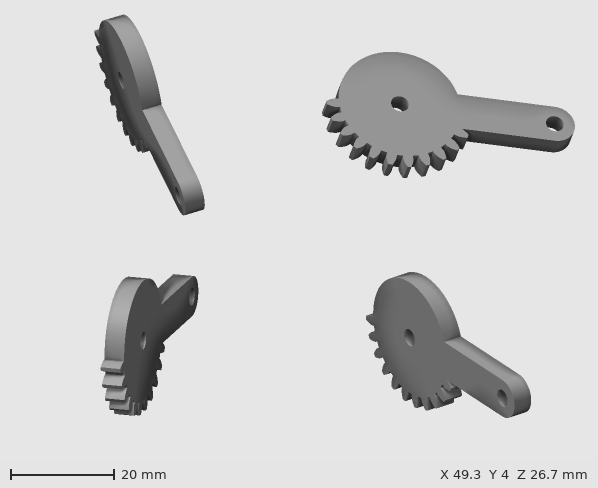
import cadquery as cq
import math

overall_length = 49.3
thickness = 4.0
arm_radius = 4.0
hole_diameter = 3.5

full_tooth_count = 24
tip_radius = 14.65
pressure_angle = math.radians(20)
dedendum_factor = 1.25
module = 2 * tip_radius / (full_tooth_count + 2)
pitch_radius = module * full_tooth_count / 2
root_radius = pitch_radius - dedendum_factor * module
base_radius = pitch_radius * math.cos(pressure_angle)
tooth_pitch = 360 / full_tooth_count

left_teeth = 6
right_teeth = 5

flank_points = 6
tooth_overlap = 0.25


def involute(angle):
    return math.tan(angle) - angle


def half_tooth_angle(radius):
    """Half the angle spanned by a tooth at a radius on its involute flank."""
    at_pitch = math.pi / (2 * full_tooth_count)
    return at_pitch + involute(pressure_angle) - involute(math.acos(base_radius / radius))


def polar(radius, angle):
    return (radius * math.cos(angle), radius * math.sin(angle))


last_tooth_angle = math.radians(tooth_pitch / 2) - half_tooth_angle(tip_radius)
left_reach = tip_radius * math.cos(last_tooth_angle)
arm_length = overall_length - left_reach - arm_radius


def make_tooth():
    """One tooth pointing along +X: radial below the base circle, involute above it."""
    step = (tip_radius - base_radius) / (flank_points - 1)
    radii = [base_radius + i * step for i in range(flank_points)]
    lower = [polar(r, -half_tooth_angle(r)) for r in radii]
    upper = [polar(r, half_tooth_angle(r)) for r in reversed(radii)]
    inner_radius = root_radius - tooth_overlap
    base_angle = half_tooth_angle(base_radius)
    lower_tangents = [polar(1, -base_angle)] + [None] * (flank_points - 1)
    upper_tangents = [None] * (flank_points - 1) + [polar(-1, base_angle)]
    return (
        cq.Workplane("XZ")
        .moveTo(*polar(inner_radius, -base_angle))
        .lineTo(*lower[0])
        .spline(lower[1:], tangents=lower_tangents, includeCurrent=True)
        .threePointArc((tip_radius, 0), upper[0])
        .spline(upper[1:], tangents=upper_tangents, includeCurrent=True)
        .lineTo(*polar(inner_radius, base_angle))
        .close()
        .extrude(-thickness)
    )


def make_arm():
    bar = (
        cq.Workplane("XZ")
        .center(arm_length / 2, 0)
        .rect(arm_length, 2 * arm_radius)
        .extrude(-thickness)
    )
    round_end = cq.Workplane("XZ").center(arm_length, 0).circle(arm_radius).extrude(-thickness)
    return bar.union(round_end)


body = cq.Workplane("XZ").circle(root_radius).extrude(-thickness).union(make_arm())

tooth = make_tooth()
for index in range(-right_teeth, left_teeth):
    turn = 90 + (index + 0.5) * tooth_pitch
    body = body.union(tooth.rotate((0, 0, 0), (0, 1, 0), turn))

holes = (
    cq.Workplane("XZ")
    .pushPoints([(0, 0), (arm_length, 0)])
    .circle(hole_diameter / 2)
    .extrude(-thickness)
)
result = body.cut(holes)